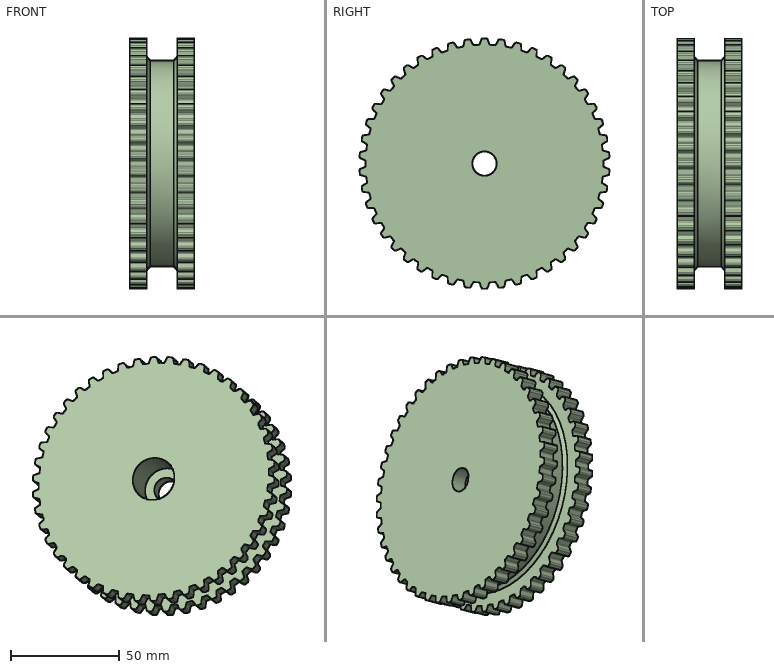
import cadquery as cq
import math

outer_radius = 57.9
rim_width = 8.0
drum_width = 14.0
total_width = 2 * rim_width + drum_width

tooth_count = 46
groove_depth = 2.9
groove_root_width = 2.8
groove_tip_width = 5.3
tip_round = 0.9
root_round = 0.5

drum_radius = 47.7
bevel_width = 1.5
bevel_height = 1.7

bore_radius = 5.5
counterbore_radius = 10.0
counterbore_depth = rim_width + drum_width

left_face = -total_width / 2
pitch_angle = 360 / tooth_count
root_radius = outer_radius - groove_depth


def at_x(x):
    """Sketch plane across the axle at position x, facing +X."""
    return cq.Workplane("YZ", origin=(x, 0, 0))


def disc(x, radius, width):
    """Round disc on the axle, reaching from x towards +X."""
    return at_x(x).circle(radius).extrude(width)


def groove_cutter(x):
    """Prism for one groove at the +Z side, running past the rim tips."""
    overlap = 1.2
    flank_slope = (groove_tip_width - groove_root_width) / 2 / groove_depth
    root_half = groove_root_width / 2
    top_half = groove_tip_width / 2 + flank_slope * overlap
    top = outer_radius + overlap
    outline = [(-root_half, root_radius), (root_half, root_radius), (top_half, top), (-top_half, top)]
    prism = at_x(x).polyline(outline).close().extrude(rim_width)
    return prism.edges("|X and <Z").fillet(root_round)


def toothed_rim(x):
    """Rim with a tooth pointing along +Z, so grooves sit half a pitch away."""
    cutter = groove_cutter(x).val()
    rim = disc(x, outer_radius, rim_width)
    grooves = [
        cutter.rotate(cq.Vector(0, 0, 0), cq.Vector(1, 0, 0), (i + 0.5) * pitch_angle)
        for i in range(tooth_count)
    ]
    rim = cq.Workplane(rim.val().cut(*grooves))
    corner_zone = groove_depth / 2

    def is_tip(edge):
        middle = edge.Center()
        return math.hypot(middle.y, middle.z) > outer_radius - corner_zone

    tip_edges = [edge for edge in rim.edges("|X").vals() if is_tip(edge)]
    return rim.newObject(tip_edges).fillet(tip_round)


def drum():
    """Plain drum, flaring at both ends to meet the rims."""
    start = left_face + rim_width
    end = start + drum_width
    flare_radius = drum_radius + bevel_height
    profile = [
        (start, 0),
        (start, flare_radius),
        (start + bevel_width, drum_radius),
        (end - bevel_width, drum_radius),
        (end, flare_radius),
        (end, 0),
    ]
    return cq.Workplane("XZ").polyline(profile).close().revolve(360, (0, 0, 0), (1, 0, 0))


near_rim = toothed_rim(left_face)
far_rim = near_rim.translate((rim_width + drum_width, 0, 0))
wheel = drum().union(near_rim).union(far_rim)

wheel = wheel.cut(disc(left_face, bore_radius, total_width))
result = wheel.cut(disc(left_face, counterbore_radius, counterbore_depth))